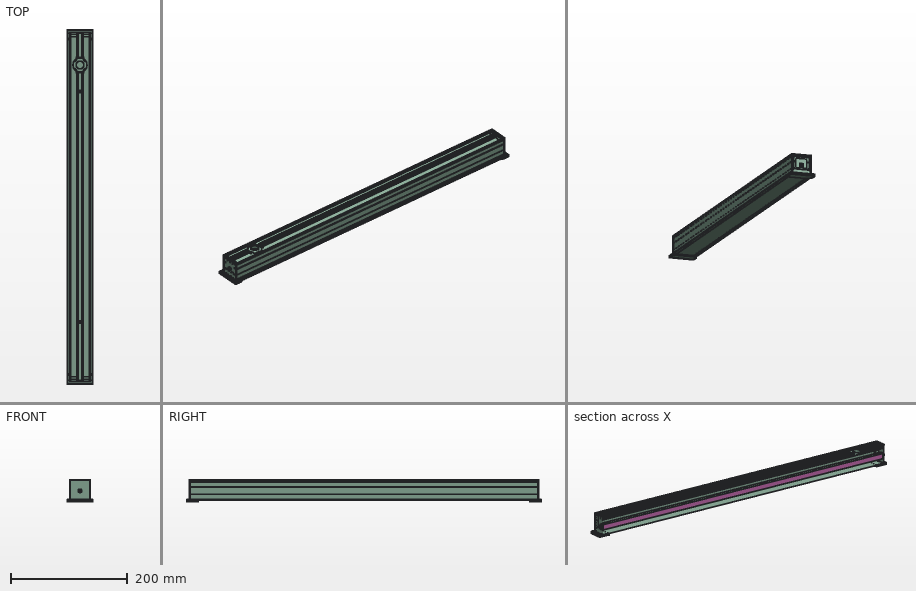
import cadquery as cq

TOTAL_LENGTH = 606.4
TOTAL_HEIGHT = 37.4
FLANGE_WIDTH = 44.0

PROFILE_LENGTH = 594.0
BODY_WIDTH = 35.0
WALL = 1.5
FLANGE_BOTTOM = 2.4
FLANGE_THICKNESS = 1.6
FLANGE_CHAMFER = 0.9
TROUGH_DEPTH = 2.4
SHELF_TOP = 13.1
LIGHT_CHAMBER_FILLET = 3.2
GUIDE_RIB_Z = 24.5
GUIDE_RIB_THICKNESS = 1.0
SCREW_PORT_WIDTH = 6.4
SCREW_PORT_TOP = 22.0

RAIL_WIDTH = 10.6
RAIL_ROOT_FILLET = 0.9
RAIL_SLOT_WIDTH = 5.6
RAIL_SLOT_DEPTH = 1.5

GLAND_Y = 242.6
GLAND_HEAD_DIAMETER = 24.0
GLAND_HEAD_FILLET = 2.0
GLAND_BORE_DIAMETER = 13.5
GLAND_BARREL_BELOW_ROOF = 3.0
GLAND_MEMBRANE = 1.0
RAIL_GAP = 27.2

MOUNT_HEAD_DIAMETER = 4.5
CAP_HEAD_DIAMETER = 6.0
SCREW_HEAD_HEIGHT = 2.0
SCREW_SHANK_DIAMETER = 3.5
SCREW_SOCKET_DIAMETER = 3.5
SCREW_SOCKET_DEPTH = 1.0
MOUNT_SCREW_LENGTH = 6.0
CAP_SCREW_LENGTH = 12.0
MOUNT_SCREW_Y = 197.2
CAP_SCREW_Z = TOTAL_HEIGHT / 2

CAP_THICKNESS = 2.0
CAP_CHAMFER = 0.3
CAP_TAB_LENGTH = 2.0
BASE_LENGTH = 19.5
BASE_CORNER_CHAMFER = 6.0
BASE_STEP_HEIGHT = 1.4
BASE_STEP_INSET = 0.3
COLLAR_LENGTH = 6.0
COLLAR_WIDTH = 28.0
COLLAR_FILLET = 1.8
COLLAR_OPENING_WIDTH = 20.0
COLLAR_OPENING_BOTTOM = 14.1
COLLAR_OPENING_TOP = 30.6

HALF_LENGTH = TOTAL_LENGTH / 2
PROFILE_END = PROFILE_LENGTH / 2
CAP_FACE = PROFILE_END + CAP_THICKNESS
FLANGE_TOP = FLANGE_BOTTOM + FLANGE_THICKNESS
INNER_WIDTH = BODY_WIDTH - 2 * WALL
ROOF_TOP = TOTAL_HEIGHT - TROUGH_DEPTH
ROOF_BOTTOM = ROOF_TOP - WALL
SHELF_BOTTOM = SHELF_TOP - WALL
SLOT_FLOOR = TOTAL_HEIGHT - RAIL_SLOT_DEPTH
GLAND_BARREL_DIAMETER = GLAND_HEAD_DIAMETER - 2 * GLAND_HEAD_FILLET


def block(x_size, y_min, y_max, z_min, z_max, x_center=0.0):
    """Box centred on x_center, with its Y and Z given by their limits."""
    box = cq.Workplane("XY").box(x_size, y_max - y_min, z_max - z_min)
    return box.translate((x_center, (y_min + y_max) / 2, (z_min + z_max) / 2))


def profile_block(x_size, z_min, z_max, x_center=0.0):
    """Box that runs the whole length of the profile."""
    return block(x_size, -PROFILE_END, PROFILE_END, z_min, z_max, x_center)


def upright_cylinder(diameter, y, z_min, z_max):
    """Vertical cylinder on the centre line of the luminaire."""
    cylinder = cq.Workplane("XY").circle(diameter / 2).extrude(z_max - z_min)
    return cylinder.translate((0, y, z_min))


def at_both_ends(body):
    """The body at the +Y end, and its copy turned half a turn to the -Y end."""
    return [body.rotate((0, 0, 0), (0, 0, 1), angle) for angle in (0, 180)]


def make_rail():
    """Slotted rail with filleted roots, interrupted around the gland."""
    rail = (
        cq.Workplane("XZ")
        .moveTo(-RAIL_WIDTH / 2 - RAIL_ROOT_FILLET, ROOF_TOP)
        .radiusArc((-RAIL_WIDTH / 2, ROOF_TOP + RAIL_ROOT_FILLET), -RAIL_ROOT_FILLET)
        .lineTo(-RAIL_WIDTH / 2, TOTAL_HEIGHT)
        .lineTo(RAIL_WIDTH / 2, TOTAL_HEIGHT)
        .lineTo(RAIL_WIDTH / 2, ROOF_TOP + RAIL_ROOT_FILLET)
        .radiusArc((RAIL_WIDTH / 2 + RAIL_ROOT_FILLET, ROOF_TOP), -RAIL_ROOT_FILLET)
        .close()
        .extrude(PROFILE_END, both=True)
    )
    slot = profile_block(RAIL_SLOT_WIDTH, SLOT_FLOOR, TOTAL_HEIGHT)
    gap = block(
        BODY_WIDTH, GLAND_Y - RAIL_GAP / 2, GLAND_Y + RAIL_GAP / 2, ROOF_TOP, TOTAL_HEIGHT
    )
    return rail.cut(slot).cut(gap)


def make_profile():
    flange = profile_block(FLANGE_WIDTH, FLANGE_BOTTOM, FLANGE_TOP)
    flange = flange.edges("|Y and >Z").chamfer(FLANGE_CHAMFER)
    body = profile_block(BODY_WIDTH, FLANGE_BOTTOM, TOTAL_HEIGHT).union(flange)

    trough = profile_block(INNER_WIDTH, ROOF_TOP, TOTAL_HEIGHT)
    driver_chamber = profile_block(INNER_WIDTH, SHELF_TOP, ROOF_BOTTOM)
    light_chamber = profile_block(INNER_WIDTH, FLANGE_BOTTOM, SHELF_BOTTOM)
    light_chamber = light_chamber.edges("|Y and >Z").fillet(LIGHT_CHAMBER_FILLET)
    body = body.cut(trough).cut(driver_chamber).cut(light_chamber)

    rib_reach = (INNER_WIDTH - COLLAR_OPENING_WIDTH) / 2
    rib_center = (INNER_WIDTH + COLLAR_OPENING_WIDTH) / 4
    for side in (-1, 1):
        rib = profile_block(
            rib_reach, GUIDE_RIB_Z, GUIDE_RIB_Z + GUIDE_RIB_THICKNESS, side * rib_center
        )
        body = body.union(rib)
    screw_port = profile_block(SCREW_PORT_WIDTH, SHELF_TOP, SCREW_PORT_TOP)
    body = body.union(screw_port)
    return body.union(make_rail())


def make_diffuser():
    return profile_block(INNER_WIDTH, FLANGE_BOTTOM, FLANGE_TOP)


def make_gland():
    head = upright_cylinder(GLAND_HEAD_DIAMETER, GLAND_Y, ROOF_TOP, TOTAL_HEIGHT)
    head = head.faces(">Z").edges().fillet(GLAND_HEAD_FILLET)
    barrel_bottom = ROOF_BOTTOM - GLAND_BARREL_BELOW_ROOF
    barrel = upright_cylinder(GLAND_BARREL_DIAMETER, GLAND_Y, barrel_bottom, ROOF_TOP)
    bore_bottom = barrel_bottom + GLAND_MEMBRANE
    bore = upright_cylinder(GLAND_BORE_DIAMETER, GLAND_Y, bore_bottom, TOTAL_HEIGHT)
    return head.union(barrel).cut(bore)


def make_screw_blank(head_diameter, length):
    """Upright screw without its socket, with the top of its head at the origin."""
    head = upright_cylinder(head_diameter, 0, -SCREW_HEAD_HEIGHT, 0)
    return head.union(upright_cylinder(SCREW_SHANK_DIAMETER, 0, -length, 0))


def cut_socket(blank):
    return blank.cut(upright_cylinder(SCREW_SOCKET_DIAMETER, 0, -SCREW_SOCKET_DEPTH, 0))


def place_mount_screw(screw, y):
    """Moves an upright screw to the floor of the rail slot."""
    return screw.translate((0, y, SLOT_FLOOR))


def place_cap_screw(screw):
    """Lays an upright screw down, with its head at the face of the +Y end cap."""
    return screw.rotate((0, 0, 0), (1, 0, 0), -90).translate((0, CAP_FACE, CAP_SCREW_Z))


def make_base():
    """Base below the profile flange, with its inner corners cut at 45 degrees."""
    base_start = HALF_LENGTH - BASE_LENGTH
    lower = block(FLANGE_WIDTH, base_start, HALF_LENGTH, 0, BASE_STEP_HEIGHT)
    upper = block(
        FLANGE_WIDTH - 2 * BASE_STEP_INSET,
        base_start,
        HALF_LENGTH - BASE_STEP_INSET,
        BASE_STEP_HEIGHT,
        FLANGE_BOTTOM,
    )
    half_width = FLANGE_WIDTH / 2
    outline = (
        cq.Workplane("XY")
        .moveTo(-half_width, HALF_LENGTH)
        .lineTo(half_width, HALF_LENGTH)
        .lineTo(half_width, base_start + BASE_CORNER_CHAMFER)
        .lineTo(half_width - BASE_CORNER_CHAMFER, base_start)
        .lineTo(BASE_CORNER_CHAMFER - half_width, base_start)
        .lineTo(-half_width, base_start + BASE_CORNER_CHAMFER)
        .close()
        .extrude(FLANGE_BOTTOM)
    )
    return lower.union(upper).intersect(outline)


def make_collar():
    """Hollow collar that reaches into the driver chamber."""
    collar_start = PROFILE_END - COLLAR_LENGTH
    collar = block(COLLAR_WIDTH, collar_start, PROFILE_END, SHELF_TOP, ROOF_BOTTOM)
    collar = collar.edges("|Y").fillet(COLLAR_FILLET)
    opening = block(
        COLLAR_OPENING_WIDTH,
        collar_start,
        PROFILE_END,
        COLLAR_OPENING_BOTTOM,
        COLLAR_OPENING_TOP,
    )
    return collar.cut(opening)


def make_cap(profile):
    """Cap whose tabs and collar are notched to fit the profile."""
    plate = block(BODY_WIDTH, PROFILE_END, CAP_FACE, FLANGE_BOTTOM, TOTAL_HEIGHT)
    plate = plate.faces(">Y").edges("|Z or >Z").chamfer(CAP_CHAMFER)
    flange = block(FLANGE_WIDTH, PROFILE_END, HALF_LENGTH, FLANGE_BOTTOM, FLANGE_TOP)
    flange = flange.edges(">Z and (>X or <X or >Y)").chamfer(FLANGE_CHAMFER)
    cap = plate.union(flange).union(make_base()).union(make_collar())

    tab_width = (INNER_WIDTH - RAIL_WIDTH) / 2
    tab_center = (INNER_WIDTH + RAIL_WIDTH) / 4
    for side in (-1, 1):
        tab = block(
            tab_width,
            PROFILE_END - CAP_TAB_LENGTH,
            PROFILE_END,
            ROOF_TOP,
            TOTAL_HEIGHT,
            side * tab_center,
        )
        cap = cap.union(tab)
    return cap.cut(profile)


mount_screw_blank = make_screw_blank(MOUNT_HEAD_DIAMETER, MOUNT_SCREW_LENGTH)
cap_screw_blank = make_screw_blank(CAP_HEAD_DIAMETER, CAP_SCREW_LENGTH)

profile = make_profile()
caps = at_both_ends(make_cap(profile).cut(place_cap_screw(cap_screw_blank)))
diffuser = make_diffuser()
gland = make_gland()

profile = profile.cut(
    upright_cylinder(GLAND_BARREL_DIAMETER, GLAND_Y, ROOF_BOTTOM, ROOF_TOP)
)

for hole in at_both_ends(place_cap_screw(cap_screw_blank)):
    profile = profile.cut(hole)
cap_screws = at_both_ends(place_cap_screw(cut_socket(cap_screw_blank)))

mount_screws = []
for screw_y in (-MOUNT_SCREW_Y, MOUNT_SCREW_Y):
    profile = profile.cut(place_mount_screw(mount_screw_blank, screw_y))
    mount_screws.append(place_mount_screw(cut_socket(mount_screw_blank), screw_y))

bodies = [profile, diffuser, gland, *caps, *cap_screws, *mount_screws]
result = cq.Compound.makeCompound([body.val() for body in bodies])